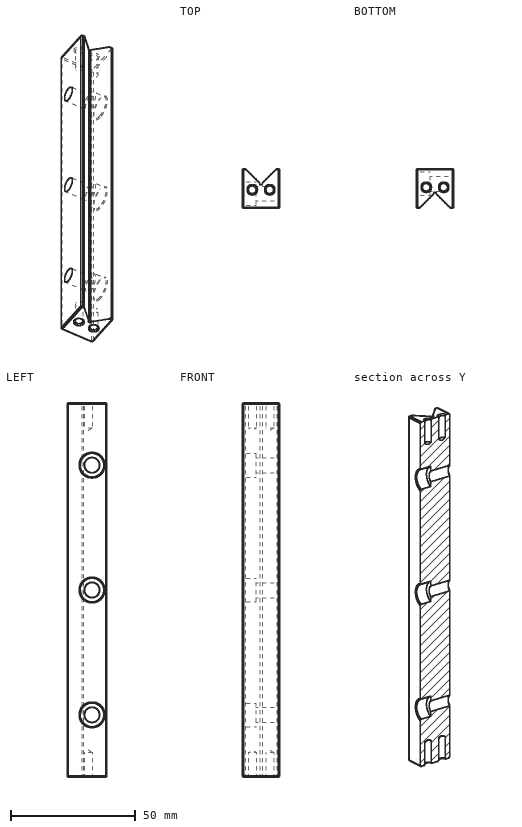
import math

import cadquery as cq

WIDTH = 15.0
DEPTH = 16.0
LENGTH = 150.0
EDGE_CHAMFER = 0.52

V_ROOT_Y = 9.65
RELIEF_WIDTH = 1.0
RELIEF_FLOOR_Y = 9.6

MOUNT_COUNT = 3
MOUNT_PITCH = LENGTH / MOUNT_COUNT
MOUNT_Y = 6.0
MOUNT_DIAMETER = 6.0
COUNTERBORE_DIAMETER = 9.5
COUNTERBORE_DEPTH = 5.3
COUNTERBORE_CHAMFER = 0.4

END_HOLE_SPACING = 7.0
END_HOLE_Y = 7.5
END_HOLE_DIAMETER = 3.1
END_HOLE_MOUTH_DIAMETER = 4.2
END_HOLE_DEPTH = 10.0
DRILL_POINT_ANGLE = 118.0


def rail_body():
    """Rectangular bar with all outer edges chamfered."""
    bar = cq.Workplane("XY").box(WIDTH, DEPTH, LENGTH, centered=(True, False, False))
    return bar.edges().chamfer(EDGE_CHAMFER)


def v_groove():
    """Full-length cutter for the 45 degree flanks and the relief slot."""
    half_opening = DEPTH - V_ROOT_Y
    half_relief = RELIEF_WIDTH / 2
    flank_foot_y = V_ROOT_Y + half_relief
    profile = [
        (-half_opening, DEPTH),
        (-half_relief, flank_foot_y),
        (-half_relief, RELIEF_FLOOR_Y),
        (half_relief, RELIEF_FLOOR_Y),
        (half_relief, flank_foot_y),
        (half_opening, DEPTH),
    ]
    return cq.Workplane("XY").polyline(profile).close().extrude(LENGTH)


def mounting_hole(z):
    """Through hole along X with a counterbore chamfered at its mouth."""
    face_x = -WIDTH / 2
    bore_radius = MOUNT_DIAMETER / 2
    counterbore_radius = COUNTERBORE_DIAMETER / 2
    floor_x = face_x + COUNTERBORE_DEPTH
    half_profile = [
        (face_x, 0),
        (face_x, counterbore_radius + COUNTERBORE_CHAMFER),
        (face_x + COUNTERBORE_CHAMFER, counterbore_radius),
        (floor_x, counterbore_radius),
        (floor_x, bore_radius),
        (WIDTH / 2, bore_radius),
        (WIDTH / 2, 0),
    ]
    sketch = cq.Workplane("XY", origin=(0, MOUNT_Y, z)).polyline(half_profile).close()
    return sketch.revolve(360, (0, 0, 0), (1, 0, 0))


def end_hole(x):
    """Blind drilled hole with a 45 degree countersunk mouth, down from the top end."""
    radius = END_HOLE_DIAMETER / 2
    mouth_radius = END_HOLE_MOUTH_DIAMETER / 2
    countersink_depth = mouth_radius - radius
    point_height = radius / math.tan(math.radians(DRILL_POINT_ANGLE / 2))
    half_profile = [
        (0, 0),
        (mouth_radius, 0),
        (radius, -countersink_depth),
        (radius, -END_HOLE_DEPTH),
        (0, -END_HOLE_DEPTH - point_height),
    ]
    sketch = cq.Workplane("XZ", origin=(x, END_HOLE_Y, LENGTH)).polyline(half_profile).close()
    return sketch.revolve(360, (0, 0, 0), (0, 1, 0))


result = rail_body().cut(v_groove())

for index in range(MOUNT_COUNT):
    result = result.cut(mounting_hole((index + 0.5) * MOUNT_PITCH))

for side in (-1, 1):
    top_hole = end_hole(side * END_HOLE_SPACING / 2)
    bottom_hole = top_hole.mirror("XY", (0, 0, LENGTH / 2))
    result = result.cut(top_hole).cut(bottom_hole)